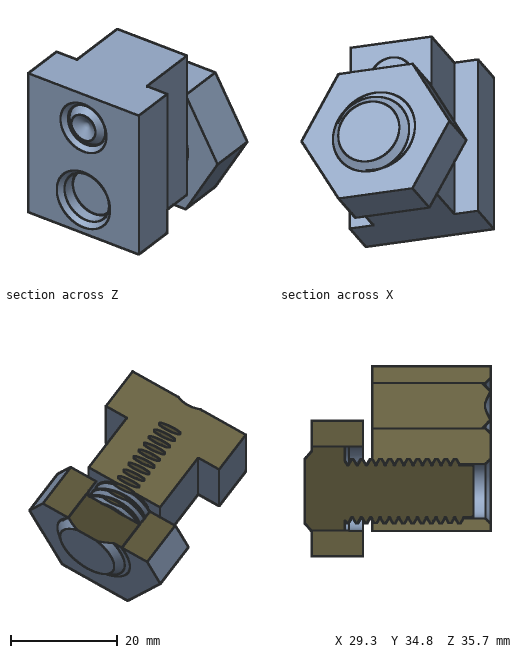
import cadquery as cq
import math

total_height = 35.65

block_width = 25.4
block_height = 30.9
neck_width = 16.05
flange_depth = 9.2
block_depth = 22.2

washer_flats = 25.4
washer_corners = washer_flats / math.cos(math.radians(30))
washer_thickness = 9.62
washer_gap = 1.7
washer_front = block_depth + washer_gap
washer_back = washer_front + washer_thickness
entry_bore_radius = 7.88
seat_bore_radius = 7.85
entry_bore_depth = 2.65

eccentricity = 1.0
eccentric_angle = math.radians(150)
offset_x = eccentricity * math.cos(eccentric_angle)
offset_z = eccentricity * math.sin(eccentric_angle)
washer_overhang = total_height - block_height
washer_z = washer_flats / 2 - washer_overhang

cam_screw_z = washer_z - offset_z
thread_pitch = 1.75
thread_major_radius = 6.02
thread_core_radius = 4.95
thread_crest_width = 0.35
thread_root_radius = 4.9
thread_root_width = 1.7
crest_setback = 0.68
screw_tip_y = 3.25
screw_tip_radius = 4.7
head_recess = 3.42
head_front = washer_front + head_recess
head_cap_height = 1.32
head_cap_base_radius = 7.55
head_cap_top_radius = 6.05

hole_spacing = 16.0
set_screw_z = cam_screw_z + hole_spacing
set_screw_radius = 4.28
cup_radius = 2.75
cup_depth = cup_radius / math.tan(math.radians(60))

cam_bore_radius = 5.1
cam_bore_mouth_radius = 6.13
set_bore_mouth_radius = 5.27


def rod(x, z, radius, start, end):
    """Cylinder along Y between two Y positions."""
    return cq.Workplane("XZ", origin=(x, start, z)).circle(radius).extrude(start - end)


def turned(z, profile):
    """Solid of revolution about a Y axis at height z; the profile lists (radius, y) points."""
    return (
        cq.Workplane("XY", origin=(0, 0, z))
        .polyline(profile)
        .close()
        .revolve(360, (0, 0, 0), (0, 1, 0))
    )


def countersink(z, radius, mouth_radius):
    """45 degree cone that widens a bore's mouth at the block's front face."""
    return turned(z, [
        (0, 0),
        (mouth_radius, 0),
        (radius, mouth_radius - radius),
        (0, mouth_radius - radius),
    ])


def thread_ridge():
    """Right-hand helical ridge along Y, from behind the screw's tip to inside its head."""
    crest_y = block_depth + crest_setback
    turns_to_tip = math.floor((crest_y - screw_tip_y) / thread_pitch) - 1
    turns_to_head = math.ceil((head_front - crest_y) / thread_pitch) + 1
    first_crest = crest_y - turns_to_tip * thread_pitch
    turns = turns_to_tip + turns_to_head
    helix = cq.Wire.makeHelix(thread_pitch, turns * thread_pitch, thread_root_radius)
    ridge = (
        cq.Workplane("XZ")
        .polyline([
            (thread_root_radius, -thread_root_width / 2),
            (thread_major_radius, -thread_crest_width / 2),
            (thread_major_radius, thread_crest_width / 2),
            (thread_root_radius, thread_root_width / 2),
        ])
        .close()
        .sweep(cq.Workplane(obj=helix), isFrenet=True)
    )
    return ridge.rotate((0, 0, 0), (1, 0, 0), -90).translate((0, first_crest, cam_screw_z))


def make_cam_screw():
    """Threaded shank with an eccentric head that carries a conical cap on the shank's axis."""
    tip_chamfer = thread_core_radius - screw_tip_radius
    core = rod(0, cam_screw_z, thread_core_radius, screw_tip_y, washer_back)
    core = core.faces("<Y").chamfer(tip_chamfer)
    head = rod(offset_x, washer_z, seat_bore_radius, head_front, washer_back)
    cap = turned(cam_screw_z, [
        (0, washer_back),
        (head_cap_base_radius, washer_back),
        (head_cap_top_radius, washer_back + head_cap_height),
        (0, washer_back + head_cap_height),
    ])
    return core.union(thread_ridge()).union(head).union(cap)


def make_set_screw():
    """Plain screw body with a 45 degree point and a conical cup, flush with the block at both ends."""
    return turned(set_screw_z, [
        (0, cup_depth),
        (cup_radius, 0),
        (set_screw_radius, set_screw_radius - cup_radius),
        (set_screw_radius, block_depth),
        (0, block_depth),
    ])


def make_washer():
    """Hexagon with a stepped bore that seats the eccentric head."""
    hexagon = (
        cq.Workplane("XZ", origin=(offset_x, washer_front, washer_z))
        .polygon(6, washer_corners)
        .extrude(-washer_thickness)
    )
    entry = rod(offset_x, washer_z, entry_bore_radius, washer_front, washer_front + entry_bore_depth)
    seat = rod(offset_x, washer_z, seat_bore_radius, washer_front, washer_back)
    return hexagon.cut(entry).cut(seat)


def make_block():
    """T-shaped block with a bore for each screw; the lower bore has the cam screw's thread cut into it."""
    flange = cq.Workplane("XY").box(block_width, flange_depth, block_height, centered=(True, False, False))
    neck = cq.Workplane("XY").box(neck_width, block_depth, block_height, centered=(True, False, False))
    set_bore = rod(0, set_screw_z, set_screw_radius, 0, block_depth)
    cam_bore = rod(0, cam_screw_z, cam_bore_radius, 0, washer_back).union(thread_ridge())
    return (
        flange.union(neck)
        .cut(cam_bore)
        .cut(set_bore)
        .cut(countersink(cam_screw_z, cam_bore_radius, cam_bore_mouth_radius))
        .cut(countersink(set_screw_z, set_screw_radius, set_bore_mouth_radius))
    )


cam_screw = make_cam_screw()
set_screw = make_set_screw()
washer = make_washer()
block = make_block()

result = cq.Compound.makeCompound([
    block.solids().val(),
    washer.solids().val(),
    cam_screw.solids().val(),
    set_screw.solids().val(),
])